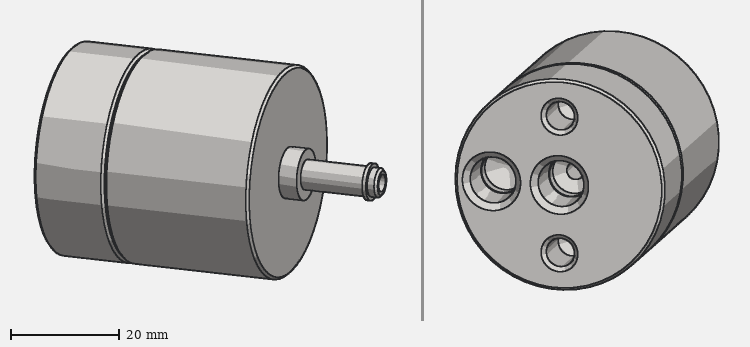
import cadquery as cq
import math

body_diameter = 40.01
body_length = 42.8
edge_chamfer = 0.5

gap_start = 13.92
gap_width = 0.15
gap_floor_diameter = 35.1

overall_length = 61.49
collar_diameter = 9.7
collar_end = 46.4
shaft_diameter = 5.69
ring_diameter = 6.99
ring_start = 58.9
ring_end = 59.65
tip_diameter = 5.54
tip_chamfer = 0.5

hole_offset = 12.95
drill_point_angle = 118.0
passage_diameter = 3.3

port_rim_diameter = 11.1
port_mouth_diameter = 8.7
port_taper_ratio = 1 / 16
port_countersink_depth = 1.2
port_taper_end = 8.5
port_drill_diameter = 7.95
port_drill_depth = 11.0

pin_rim_diameter = 6.99
pin_bore_diameter = 5.36
pin_countersink_depth = 0.75
pin_hole_depth = 10.0


def revolve_about_x(profile):
    """Turn an (x, radius) profile into a solid of revolution about the X axis."""
    return cq.Workplane("XY").polyline(profile).close().revolve(360, (0, 0, 0), (1, 0, 0))


def make_body():
    """Body with its chamfered gap, plus the stepped nipple."""
    body_radius = body_diameter / 2
    face_radius = body_radius - edge_chamfer
    gap_floor_radius = gap_floor_diameter / 2
    gap_end = gap_start + gap_width
    collar_radius = collar_diameter / 2
    shaft_radius = shaft_diameter / 2
    ring_radius = ring_diameter / 2
    tip_radius = tip_diameter / 2
    return revolve_about_x([
        (0, 0),
        (0, face_radius),
        (edge_chamfer, body_radius),
        (gap_start - edge_chamfer, body_radius),
        (gap_start, face_radius),
        (gap_start, gap_floor_radius),
        (gap_end, gap_floor_radius),
        (gap_end, face_radius),
        (gap_end + edge_chamfer, body_radius),
        (body_length - edge_chamfer, body_radius),
        (body_length, face_radius),
        (body_length, collar_radius),
        (collar_end, collar_radius),
        (collar_end, shaft_radius),
        (ring_start, shaft_radius),
        (ring_start, ring_radius),
        (ring_end, ring_radius),
        (ring_end, tip_radius),
        (overall_length - tip_chamfer, tip_radius),
        (overall_length, tip_radius - tip_chamfer),
        (overall_length, 0),
    ])


def drill_end(diameter, depth):
    """Profile points of a drilled bore's end: full-diameter depth, then the cone tip."""
    radius = diameter / 2
    point_length = radius / math.tan(math.radians(drill_point_angle / 2))
    return [(depth, radius), (depth + point_length, 0)]


def make_port():
    """Countersunk, tapered port with a small step down to its blind drilled bore."""
    taper_length = port_taper_end - port_countersink_depth
    taper_end_diameter = port_mouth_diameter - taper_length * port_taper_ratio
    return revolve_about_x([
        (0, 0),
        (0, port_rim_diameter / 2),
        (port_countersink_depth, port_mouth_diameter / 2),
        (port_taper_end, taper_end_diameter / 2),
        (port_taper_end, port_drill_diameter / 2),
    ] + drill_end(port_drill_diameter, port_drill_depth))


def make_pin_hole():
    """Countersunk blind hole with a conical drill point."""
    return revolve_about_x([
        (0, 0),
        (0, pin_rim_diameter / 2),
        (pin_countersink_depth, pin_bore_diameter / 2),
    ] + drill_end(pin_bore_diameter, pin_hole_depth))


def make_passage():
    """Bore running the full length, through the center port and the nipple."""
    return cq.Workplane("YZ").circle(passage_diameter / 2).extrude(overall_length)


result = make_body()
for port_y in (0, hole_offset):
    result = result.cut(make_port().translate((0, port_y, 0)))
for pin_z in (-hole_offset, hole_offset):
    result = result.cut(make_pin_hole().translate((0, 0, pin_z)))
result = result.cut(make_passage())